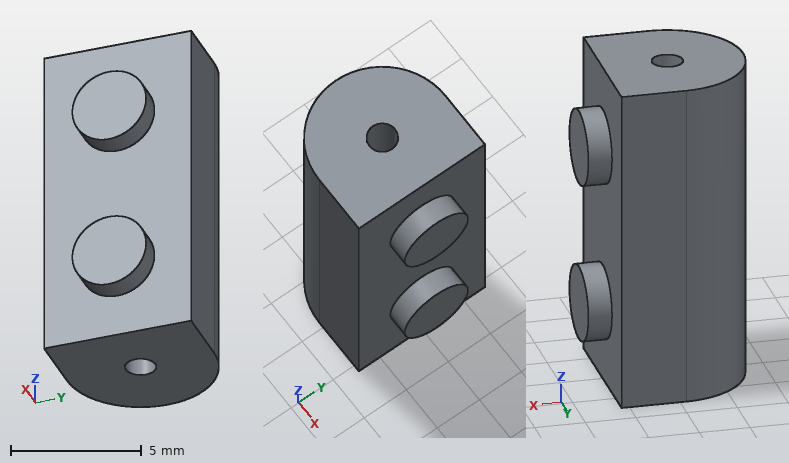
import cadquery as cq

height = 12.95
body_width = 6.0
overall_depth = 6.49
pin_length = 0.93
pin_diameter = 3.0
bore_diameter = 1.2

nose_radius = body_width / 2
back_face_x = overall_depth - pin_length - nose_radius
pin_heights = (height / 4, 3 * height / 4)


def make_body():
    """D-shaped column: round nose toward -X, flat back toward +X."""
    return (
        cq.Workplane("XY")
        .moveTo(back_face_x, -nose_radius)
        .lineTo(0, -nose_radius)
        .threePointArc((-nose_radius, 0), (0, nose_radius))
        .lineTo(back_face_x, nose_radius)
        .close()
        .extrude(height)
    )


def make_pin(pin_height):
    """Round pin standing out of the flat back."""
    return (
        cq.Workplane("YZ", origin=(back_face_x, 0, pin_height))
        .circle(pin_diameter / 2)
        .extrude(pin_length)
    )


result = make_body()
for pin_height in pin_heights:
    result = result.union(make_pin(pin_height))

bore = cq.Workplane("XY").circle(bore_diameter / 2).extrude(height)
result = result.cut(bore)